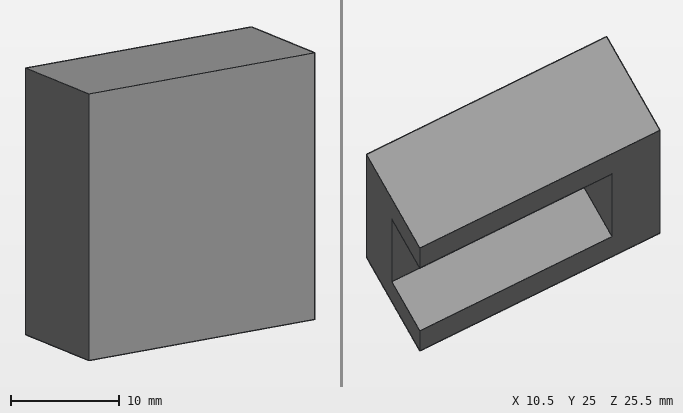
import cadquery as cq

width_x = 10.5
depth_y = 25.0
height_z = 25.5

wall = 5.0

pocket_depth = width_x - wall
pocket_length = depth_y - wall
pocket_height = height_z - 2 * wall

block = cq.Workplane("XY").box(width_x, depth_y, height_z, centered=False)

pocket = (
    cq.Workplane("XY")
    .box(pocket_depth, pocket_length, pocket_height, centered=False)
    .translate((0, wall, wall))
)

result = block.cut(pocket)